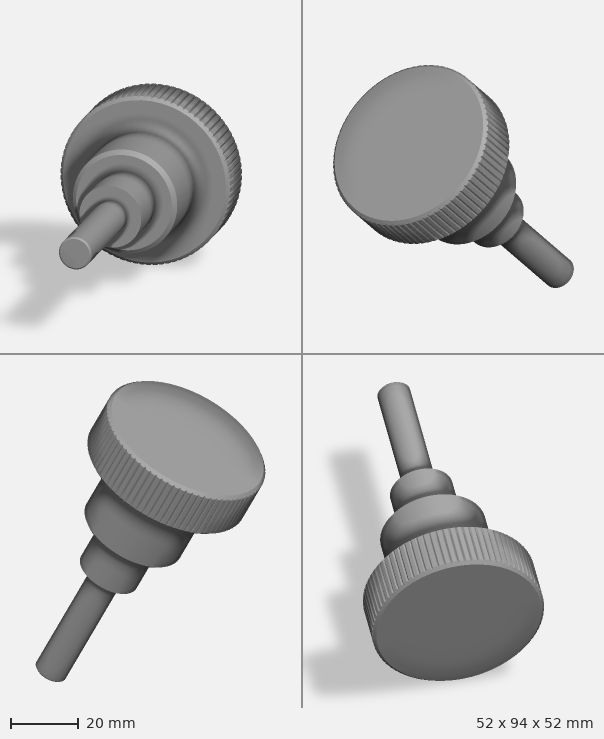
import cadquery as cq
import math

total_length = 94

head_diameter = 52.0
head_length = 15.4
head_chamfer = 1.0
hub_diameter = 32
hub_length = 23.1
hub_fillet = 3.2
hub_chamfer = 1.3

groove_count = 80
groove_depth = 0.4
groove_width = 0.8
groove_overcut = 0.2

neck_diameter = 19.0
neck_length = 15.4
pin_diameter = 10.0
pin_chamfer = 0.5

head_radius = head_diameter / 2
hub_radius = hub_diameter / 2
head_front = -head_length
hub_front = head_front - hub_length
neck_front = hub_front - neck_length


def make_blank():
    """Smooth knob, revolved about the Y axis."""
    fillet_middle = hub_fillet * (1 - math.sqrt(0.5))
    return (
        cq.Workplane("XY")
        .lineTo(head_radius - head_chamfer, 0)
        .lineTo(head_radius, -head_chamfer)
        .lineTo(head_radius, head_front + head_chamfer)
        .lineTo(head_radius - head_chamfer, head_front)
        .lineTo(hub_radius + hub_fillet, head_front)
        .threePointArc(
            (hub_radius + fillet_middle, head_front - fillet_middle),
            (hub_radius, head_front - hub_fillet),
        )
        .lineTo(hub_radius, hub_front + hub_chamfer)
        .lineTo(hub_radius - hub_chamfer, hub_front)
        .lineTo(0, hub_front)
        .close()
        .revolve(360, (0, 0, 0), (0, 1, 0))
    )


def make_groove_cutters():
    """Triangular bars over the head's length, one per knurl groove."""
    root_radius = head_radius - groove_depth
    mouth_radius = head_radius + groove_overcut
    mouth_half_width = groove_width / 2 * (groove_depth + groove_overcut) / groove_depth
    bar = (
        cq.Workplane("XZ")
        .polyline(
            [
                (0, root_radius),
                (mouth_half_width, mouth_radius),
                (-mouth_half_width, mouth_radius),
            ]
        )
        .close()
        .extrude(head_length)
        .val()
    )
    pitch_angle = 360 / groove_count
    return [
        bar.rotate(cq.Vector(0, 0, 0), cq.Vector(0, 1, 0), index * pitch_angle)
        for index in range(groove_count)
    ]


def make_knob():
    """Blank with the knurl grooves cut into its head."""
    return make_blank().val().cut(*make_groove_cutters()).Solids()[0]


def make_stud():
    """Neck and chamfered pin in one piece, butted against the hub."""
    neck = (
        cq.Workplane("XZ", origin=(0, hub_front, 0))
        .circle(neck_diameter / 2)
        .extrude(neck_length)
    )
    pin = (
        cq.Workplane("XZ", origin=(0, neck_front, 0))
        .circle(pin_diameter / 2)
        .extrude(total_length + neck_front)
        .faces("<Y")
        .chamfer(pin_chamfer)
    )
    return neck.union(pin).solids().val()


knob = make_knob()
stud = make_stud()

result = cq.Compound.makeCompound([knob, stud])